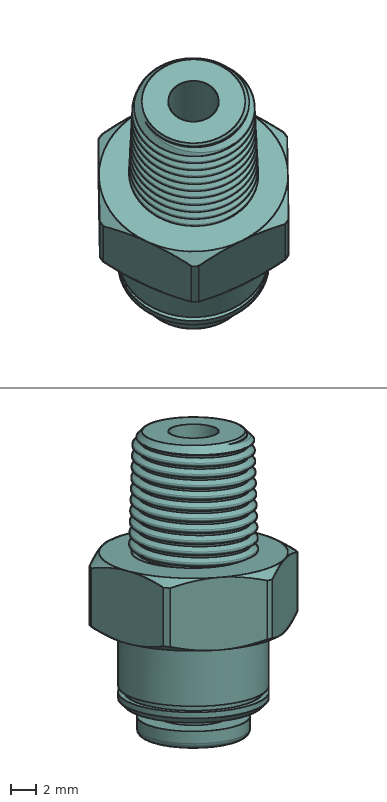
import cadquery as cq
import math

SLEEVE_FLANGE_TOP = 1.5
BODY_BOTTOM = 2.5
GROOVE_BOTTOM = 3.5
GROOVE_TOP = 4.0
HEX_BOTTOM = 9.0
HEX_TOP = 15.0
TOTAL_HEIGHT = 25.0

BORE_DIAMETER = 4.0
SLEEVE_NECK_DIAMETER = 5.5
SLEEVE_FLANGE_DIAMETER = 9.0
GROOVE_DIAMETER = 11.0
BODY_DIAMETER = 12.0
SLEEVE_ROUNDING = 0.5
BODY_CHAMFER = 0.5

HEX_ACROSS_FLATS = 15.0
HEX_ACROSS_CORNERS = 17.0
HEX_CHAMFER_ANGLE = 30.0

PITCH = 0.907
TAPER = 1 / 32
CREST_RADIUS_AT_HEX = 5.15
THREAD_DEPTH = 0.57
CREST_ROUNDING = 0.12
FLANK_ANGLE = 27.5
CREST_HEIGHT_AT_X_AXIS = 24.22
CORE_OVERLAP = 0.1
TIP_RADIUS = 4.1


def revolve_profile(points):
    """Turn a closed (radius, height) outline around the Z axis."""
    return cq.Workplane("XZ").polyline(points).close().revolve(360, (0, 0, 0), (0, 1, 0))


def cylinder(diameter, bottom, top):
    return cq.Workplane("XY").workplane(offset=bottom).circle(diameter / 2).extrude(top - bottom)


def make_sleeve():
    """Release sleeve: a rounded flange on a narrow neck."""
    flange = cylinder(SLEEVE_FLANGE_DIAMETER, 0, SLEEVE_FLANGE_TOP)
    flange = flange.faces("<Z").edges().fillet(SLEEVE_ROUNDING)
    return flange.union(cylinder(SLEEVE_NECK_DIAMETER, 0, HEX_BOTTOM))


def make_body():
    """Cylindrical body with a chamfered lower rim and a retaining groove."""
    rim = cylinder(BODY_DIAMETER, BODY_BOTTOM, GROOVE_BOTTOM)
    rim = rim.faces("<Z").edges().chamfer(BODY_CHAMFER)
    groove_floor = cylinder(GROOVE_DIAMETER, GROOVE_BOTTOM, GROOVE_TOP)
    barrel = cylinder(BODY_DIAMETER, GROOVE_TOP, HEX_BOTTOM)
    return rim.union(groove_floor).union(barrel)


def make_hexagon():
    """Hexagon with two flats facing +X and -X and conical chamfers on both ends."""
    height = HEX_TOP - HEX_BOTTOM
    prism = (
        cq.Workplane("XY")
        .workplane(offset=HEX_BOTTOM)
        .polygon(6, HEX_ACROSS_FLATS, circumscribed=True)
        .extrude(height)
    )
    face_radius = HEX_ACROSS_FLATS / 2
    corner_radius = HEX_ACROSS_CORNERS / 2
    drop = (corner_radius - face_radius) * math.tan(math.radians(HEX_CHAMFER_ANGLE))
    envelope = revolve_profile([
        (0, HEX_BOTTOM),
        (face_radius, HEX_BOTTOM),
        (corner_radius, HEX_BOTTOM + drop),
        (corner_radius, HEX_TOP - drop),
        (face_radius, HEX_TOP),
        (0, HEX_TOP),
    ])
    return prism.intersect(envelope)


def crest_radius(height):
    return CREST_RADIUS_AT_HEX - TAPER * (height - HEX_TOP)


def make_thread_core(bottom, top):
    """Tapered core at the root of the thread."""
    return revolve_profile([
        (0, bottom),
        (crest_radius(bottom) - THREAD_DEPTH, bottom),
        (crest_radius(top) - THREAD_DEPTH, top),
        (0, top),
    ])


def make_thread_ridge(start_height, length):
    """Left-hand helical ridge with straight flanks and a rounded crest."""
    flank_angle = math.radians(FLANK_ANGLE)
    crest = crest_radius(start_height)
    base = crest - THREAD_DEPTH - CORE_OVERLAP
    tangent_radius = crest - CREST_ROUNDING * (1 - math.sin(flank_angle))
    tangent_offset = CREST_ROUNDING * math.cos(flank_angle)
    base_offset = tangent_offset + (tangent_radius - base) * math.tan(flank_angle)

    section = (
        cq.Workplane("XZ")
        .moveTo(base, start_height - base_offset)
        .lineTo(tangent_radius, start_height - tangent_offset)
        .threePointArc((crest, start_height), (tangent_radius, start_height + tangent_offset))
        .lineTo(base, start_height + base_offset)
        .close()
    )
    helix = cq.Wire.makeHelix(
        PITCH,
        length,
        crest,
        center=cq.Vector(0, 0, start_height),
        angle=-math.degrees(math.atan(TAPER)),
        lefthand=True,
    )
    return section.sweep(cq.Workplane(obj=helix), isFrenet=True)


def make_thread():
    """Thread built past both ends, then trimmed at the hexagon and by the tip lead-in."""
    turns_below = math.ceil((CREST_HEIGHT_AT_X_AXIS - HEX_TOP + PITCH / 2) / PITCH)
    turns_above = math.ceil((TOTAL_HEIGHT - CREST_HEIGHT_AT_X_AXIS + PITCH / 2) / PITCH)
    ridge_start = CREST_HEIGHT_AT_X_AXIS - turns_below * PITCH
    ridge_length = (turns_below + turns_above) * PITCH
    ridge = make_thread_ridge(ridge_start, ridge_length)
    core = make_thread_core(ridge_start - PITCH, ridge_start + ridge_length + PITCH)

    trim_radius = HEX_ACROSS_FLATS / 2
    lead_in_drop = trim_radius - TIP_RADIUS
    envelope = revolve_profile([
        (0, HEX_TOP),
        (trim_radius, HEX_TOP),
        (trim_radius, TOTAL_HEIGHT - lead_in_drop),
        (TIP_RADIUS, TOTAL_HEIGHT),
        (0, TOTAL_HEIGHT),
    ])
    return core.union(ridge).intersect(envelope)


bore = cylinder(BORE_DIAMETER, 0, TOTAL_HEIGHT)
result = make_sleeve().union(make_body()).union(make_hexagon()).union(make_thread()).cut(bore)